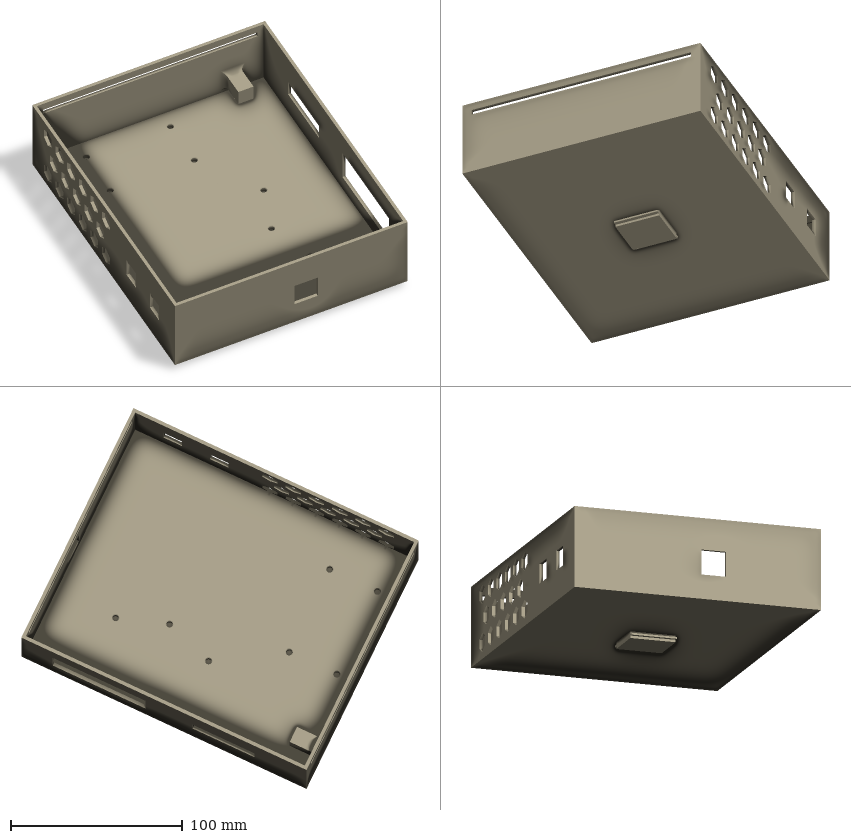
import cadquery as cq
import math


length = 184.0
width = 152.0
height = 49.0
wall = 2.0
floor = 4.8
mid_height = height / 2
opening_depth = 2 * wall

module_pitch = 30.0

hole_diameter = 3.7
hole_depth = 3.0
countersink = 0.4
board_hole_x = 13.0
board_hole_y = 28.7
board_pitch_x = 30.7
board_pitch_y = 54.8
panel_hole_x = 83.9
panel_hole_y = 108.5
panel_middle_drop = 10.1

vent_flats = 10.0
vent_radius = vent_flats / 2 / math.cos(math.pi / 6)
vent_pitch = module_pitch / 2
vent_row_rise = 14.5
vent_first_x = 20.0
vent_mid_z = 24.7
vent_outer_count = 6

front_window_size = 12.0
front_window_x = 127.7

large_window_x = 133.8
large_window_length = 60.0
large_window_height = 20.0
small_window_x = 53.5
small_window_length = 40.0
small_window_height = 10.0

side_window_size = 15.0
side_window_y = 85.7
side_window_z = 22.3

slot_length = 140.0
slot_height = 3.1
slot_top_drop = 5.0
groove_depth = 1.0

peg_size = 10.0
peg_tip_x = 19.0
peg_bottom = 9.5
peg_y = 129.9
peg_fillet = 3.0

foot_length = 25.0
foot_width = 28.0
foot_height = 4.0
lip_length = 29.5
lip_drop = 1.5
lip_thickness = 1.1


def block(x_size, y_size, z_size, center):
    """Box of the given sizes around a centre point."""
    return cq.Workplane("XY").box(x_size, y_size, z_size).translate(center)


def make_tray():
    outer = cq.Workplane("XY").box(length, width, height, centered=False)
    cavity = cq.Workplane("XY").box(length - 2 * wall, width - 2 * wall, height, centered=False)
    return outer.cut(cavity.translate((wall, wall, floor)))


def make_peg():
    """Peg on a patch of the left-hand wall, with a fillet all round its root."""
    peg_z = peg_bottom + peg_size / 2
    patch_size = peg_size + 4 * peg_fillet
    patch = block(wall, patch_size, patch_size, (wall / 2, peg_y, peg_z))
    peg = block(peg_tip_x, peg_size, peg_size, (peg_tip_x / 2, peg_y, peg_z))
    margin = 0.2
    reach = peg_size / 2 + margin
    root = cq.selectors.BoxSelector(
        (wall - margin, peg_y - reach, peg_z - reach),
        (wall + margin, peg_y + reach, peg_z + reach),
    )
    return patch.union(peg).edges(root).fillet(peg_fillet)


def make_foot():
    """Foot block, rooted in the floor, with a thin lip standing out on both of its X sides."""
    root = floor / 2
    foot_center = (length / 2, width / 2, (root - foot_height) / 2)
    foot = block(foot_length, foot_width, foot_height + root, foot_center)
    lip_center = (length / 2, width / 2, -lip_drop - lip_thickness / 2)
    return foot.union(block(lip_length, foot_width, lip_thickness, lip_center))


def make_floor_holes():
    points = []
    for i in range(2):
        for j in range(2):
            points.append((board_hole_x + i * board_pitch_x, board_hole_y + j * board_pitch_y))
    for i, drop in enumerate((0, panel_middle_drop, 0)):
        points.append((panel_hole_x + i * module_pitch, panel_hole_y - drop))

    radius = hole_diameter / 2
    bottom = floor - hole_depth
    profile = [
        (0, bottom),
        (radius, bottom),
        (radius, floor - countersink),
        (radius + countersink, floor),
        (0, floor),
    ]
    hole = cq.Workplane("XZ").polyline(profile).close().revolve(360, (0, 0), (0, 1)).val()
    return cq.Workplane("XY").pushPoints(points).eachpoint(lambda place: hole.located(place))


def make_vents():
    """Three staggered rows of hexagons, points up; the lowest points nick the floor."""
    points = []
    for row in (-1, 0, 1):
        is_middle = row == 0
        count = vent_outer_count - 1 if is_middle else vent_outer_count
        row_x = vent_first_x + vent_pitch / 2 if is_middle else vent_first_x
        for i in range(count):
            points.append((row_x + i * vent_pitch, vent_mid_z + row * vent_row_rise))
    hexagon = cq.Sketch().regularPolygon(vent_radius, 6)
    return cq.Workplane("XZ").pushPoints(points).placeSketch(hexagon).extrude(-opening_depth)


def make_front_windows():
    center = (front_window_x, wall / 2, mid_height)
    first = block(front_window_size, opening_depth, front_window_size, center)
    return first.union(first.translate((module_pitch, 0, 0)))


def make_back_windows():
    wall_y = width - wall / 2
    large_center = (large_window_x, wall_y, mid_height)
    small_center = (small_window_x, wall_y, mid_height)
    large = block(large_window_length, opening_depth, large_window_height, large_center)
    return large.union(block(small_window_length, opening_depth, small_window_height, small_center))


def make_side_window():
    center = (length - wall / 2, side_window_y, side_window_z)
    return block(opening_depth, side_window_size, side_window_size, center)


def make_panel_slot():
    """Slot right through the left-hand wall, with a blind groove facing it in the right-hand wall."""
    slot_z = height - slot_top_drop - slot_height / 2
    slot = block(opening_depth, slot_length, slot_height, (wall / 2, width / 2, slot_z))
    groove_center = (length - wall, width / 2, slot_z)
    return slot.union(block(2 * groove_depth, slot_length, slot_height, groove_center))


result = make_tray().union(make_peg()).union(make_foot())
result = result.cut(make_floor_holes())
result = result.cut(make_vents())
result = result.cut(make_front_windows())
result = result.cut(make_back_windows())
result = result.cut(make_side_window())
result = result.cut(make_panel_slot())